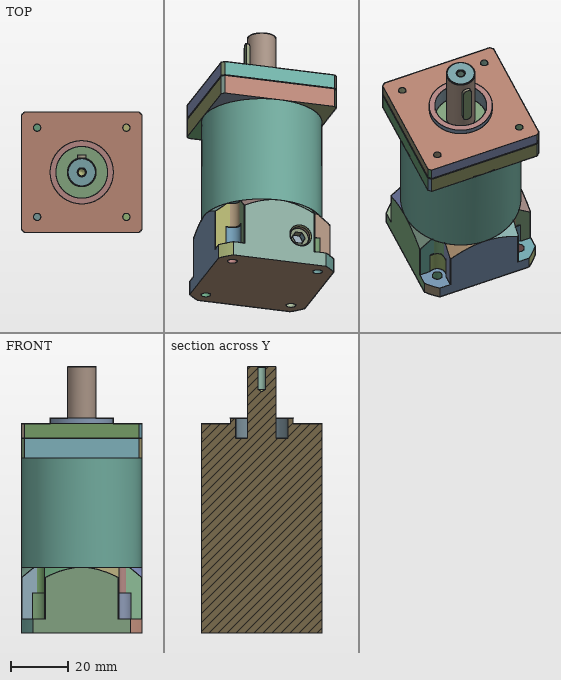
import cadquery as cq
import math

side = 42.0
total_height = 93.0

foot_top = 5.0
counterbore_top = 14.0
housing_top = 23.0
flange_bottom = 61.0
flange_split = 68.0
flange_top = 73.0
collar_top = 75.0

foot_corner_diameter = 53.9
housing_corner_diameter = 49.0
bolt_offset = 15.5
head_clearance_radius = 3.1
screw_clearance_radius = 2.6
notch_inner = bolt_offset - screw_clearance_radius
foot_hole_diameter = 3.35

plug_y = -7.6
plug_z = 10.5
plug_diameter = 7.0
plug_chamfer = 0.5
plug_recess = 2.0
hex_across_flats = 4.0
hex_depth = 3.0

flange_chamfer = 1.0
joint_groove = 0.2
flange_hole_diameter = 2.5
flange_hole_depth = flange_top - flange_split
collar_diameter = 22.0
collar_bore_diameter = 18.0

shaft_diameter = 10.0
shaft_chamfer = 0.3
key_width = 3.0
key_length = 16.0
key_top_gap = 3.0
key_reach = 5.95
centre_hole_diameter = 2.5
centre_hole_depth = 8.0
countersink_diameter = 3.2
drill_point_angle = 118.0

CORNERS = [(sx * bolt_offset, sy * bolt_offset) for sx in (-1, 1) for sy in (-1, 1)]


def cylinder(diameter, bottom, top):
    return cq.Workplane("XY").workplane(offset=bottom).circle(diameter / 2).extrude(top - bottom)


def square_block(bottom, top, width=side):
    return cq.Workplane("XY").workplane(offset=bottom).rect(width, width).extrude(top - bottom)


def corner_cylinders(diameter, bottom, top):
    plane = cq.Workplane("XY").workplane(offset=bottom)
    return plane.pushPoints(CORNERS).circle(diameter / 2).extrude(top - bottom)


def make_foot():
    foot = square_block(0, foot_top).intersect(cylinder(foot_corner_diameter, 0, foot_top))
    return foot.cut(corner_cylinders(foot_hole_diameter, 0, foot_top))


def make_housing():
    """Square block with a 45 degree conical top and a round-cornered open notch at each corner."""
    corner_radius = housing_corner_diameter / 2
    body_radius = side / 2
    cone_bottom = housing_top - (corner_radius - body_radius)
    envelope = (
        cq.Workplane("XZ")
        .moveTo(0, foot_top)
        .lineTo(corner_radius, foot_top)
        .lineTo(corner_radius, cone_bottom)
        .lineTo(body_radius, housing_top)
        .lineTo(0, housing_top)
        .close()
        .revolve(360, (0, 0, 0), (0, 1, 0))
    )
    housing = square_block(foot_top, housing_top).intersect(envelope)
    notch_side = side / 2 - notch_inner
    notch_centre = notch_inner + notch_side / 2
    mid_height = (foot_top + housing_top) / 2
    for x_sign in (-1, 1):
        for y_sign in (-1, 1):
            notch = (
                cq.Workplane("XY")
                .workplane(offset=foot_top)
                .center(x_sign * notch_centre, y_sign * notch_centre)
                .rect(notch_side, notch_side)
                .extrude(housing_top - foot_top)
                .edges("|Z")
                .edges(cq.NearestToPointSelector((x_sign * notch_inner, y_sign * notch_inner, mid_height)))
                .fillet(screw_clearance_radius)
            )
            housing = housing.cut(notch)
    return housing.cut(corner_cylinders(2 * head_clearance_radius, foot_top, counterbore_top))


def cut_access_plug(part):
    """Chamfered round recess with a hexagon socket in its floor."""
    face = cq.Workplane("YZ", origin=(-side / 2, plug_y, plug_z))
    mouth_radius = plug_diameter / 2 + plug_chamfer
    recess = face.circle(plug_diameter / 2).extrude(plug_recess)
    mouth = face.circle(mouth_radius).extrude(plug_chamfer, taper=45)
    hex_corners = hex_across_flats / math.cos(math.pi / 6)
    socket = face.polygon(6, hex_corners).extrude(plug_recess + hex_depth)
    return part.cut(recess).cut(mouth).cut(socket)


def make_flange():
    """Chamfered square flange with a fine joint groove and a hollow centring collar."""
    flange = square_block(flange_bottom, flange_top).edges("|Z").chamfer(flange_chamfer)
    groove_bottom = flange_split - joint_groove
    core_side = side - 2 * joint_groove
    core = square_block(groove_bottom, flange_split, core_side).edges("|Z").chamfer(flange_chamfer)
    flange = flange.cut(square_block(groove_bottom, flange_split).cut(core))
    flange = flange.union(cylinder(collar_diameter, flange_top, collar_top))
    flange = flange.cut(cylinder(collar_bore_diameter, flange_split, collar_top))
    return flange.cut(corner_cylinders(flange_hole_diameter, flange_top - flange_hole_depth, flange_top))


def make_shaft():
    shaft = cylinder(shaft_diameter, flange_split, total_height)
    return shaft.faces(">Z").edges().chamfer(shaft_chamfer)


def make_key():
    """Round-ended key on the +Y side of the shaft."""
    key_centre_z = total_height - key_top_gap - key_length / 2
    return (
        cq.Workplane("XZ", origin=(0, 0, key_centre_z))
        .slot2D(key_length, key_width, 90)
        .extrude(-key_reach)
    )


def make_centre_hole():
    """Countersunk hole with a conical drill point."""
    radius = centre_hole_diameter / 2
    mouth_radius = countersink_diameter / 2
    straight_bottom = total_height - centre_hole_depth
    tip = straight_bottom - radius / math.tan(math.radians(drill_point_angle / 2))
    return (
        cq.Workplane("XZ")
        .moveTo(0, tip)
        .lineTo(radius, straight_bottom)
        .lineTo(radius, total_height - (mouth_radius - radius))
        .lineTo(mouth_radius, total_height)
        .lineTo(0, total_height)
        .close()
        .revolve(360, (0, 0, 0), (0, 1, 0))
    )


housing = cut_access_plug(make_foot().union(make_housing()))
body = cylinder(side, housing_top, flange_bottom)
shaft = make_shaft().union(make_key()).cut(make_centre_hole())
result = housing.union(body).union(make_flange()).union(shaft)